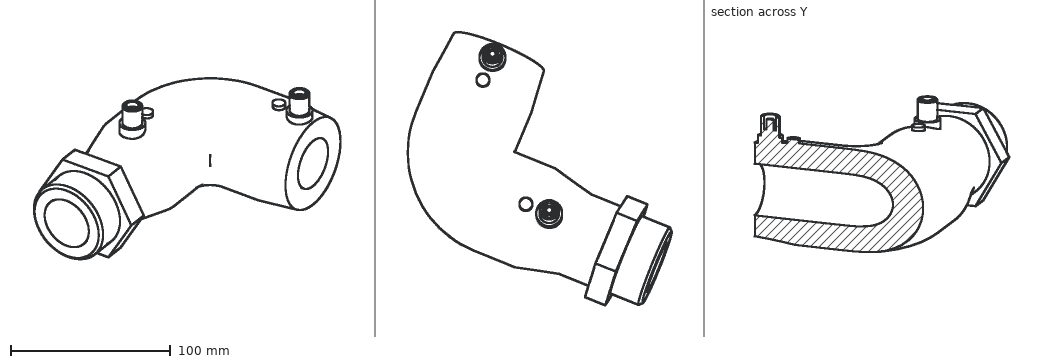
import cadquery as cq
import math

body_radius = 33.5
bend_radius = body_radius
bore_radius = body_radius / 2
barrel_end = 61.0

socket_end = 88.5
socket_end_radius = 30.6

taper_end = 88.2
neck_radius = 26.9
nut_start = 109.0
nut_length = 13.8
nut_across_flats = 60.2
thread_end = 143.5
thread_radius = 26.2
thread_chamfer = 2.0

collar_top = 35.8
collar_radius = 8.1
terminal_top = 49.0
terminal_radius = 6.2
terminal_chamfer = 0.9
terminal_bore_radius = 3.9
terminal_bore_depth = 8.9
pin_radius = 2.5
pin_chamfer = 0.5
pin_height = 6.7
indicator_radius = 4.0
socket_terminal_x = 78.2
socket_indicator_x = 62.7
threaded_terminal_y = -70.6
threaded_indicator_y = -54.9
root_height = 23


def bend(radius):
    """Quarter bend joining the two legs, turned about a vertical axis."""
    return (
        cq.Workplane("XZ", origin=(0, -bend_radius, 0))
        .circle(radius)
        .revolve(90, (bend_radius, 0), (bend_radius, -1))
    )


def leg_along_x(profile):
    """Solid of revolution about X from (distance, radius) points."""
    start = profile[0][0]
    end = profile[-1][0]
    points = [(start, 0)] + profile + [(end, 0)]
    return cq.Workplane("XY").polyline(points).close().revolve(360, (0, 0), (1, 0))


def leg_along_minus_y(profile):
    return leg_along_x(profile).rotate((0, 0, 0), (0, 0, 1), -90)


def upright(x, y, radius, bottom, top):
    """Vertical cylinder between two heights."""
    return cq.Workplane("XY", origin=(x, y, bottom)).circle(radius).extrude(top - bottom)


def terminal(x, y):
    """Collared hollow stud with a contact pin standing in its bore."""
    bore_floor = terminal_top - terminal_bore_depth
    collar = upright(x, y, collar_radius, root_height, collar_top)
    stud = upright(x, y, terminal_radius, root_height, terminal_top)
    stud = stud.faces(">Z").chamfer(terminal_chamfer)
    bore = upright(x, y, terminal_bore_radius, bore_floor, terminal_top)
    pin = upright(x, y, pin_radius, bore_floor, bore_floor + pin_height)
    pin = pin.faces(">Z").chamfer(pin_chamfer)
    return collar.union(stud).cut(bore).union(pin)


def indicator(x, y):
    return upright(x, y, indicator_radius, root_height, collar_top)


socket_leg = leg_along_x([
    (bend_radius, body_radius),
    (barrel_end, body_radius),
    (socket_end, socket_end_radius),
])
threaded_leg = leg_along_minus_y([
    (bend_radius, body_radius),
    (barrel_end, body_radius),
    (taper_end, neck_radius),
    (nut_start, neck_radius),
    (nut_start, thread_radius),
    (thread_end - thread_chamfer, thread_radius),
    (thread_end, thread_radius - thread_chamfer),
])
nut = (
    cq.Workplane("XZ", origin=(0, -nut_start, 0))
    .polygon(6, nut_across_flats / math.cos(math.pi / 6))
    .extrude(nut_length)
)
result = bend(body_radius).union(socket_leg).union(threaded_leg).union(nut)

for x, y in [(socket_terminal_x, 0), (0, threaded_terminal_y)]:
    result = result.union(terminal(x, y))
for x, y in [(socket_indicator_x, 0), (0, threaded_indicator_y)]:
    result = result.union(indicator(x, y))

result = (
    result.cut(bend(bore_radius))
    .cut(leg_along_x([(bend_radius, bore_radius), (socket_end, bore_radius)]))
    .cut(leg_along_minus_y([(bend_radius, bore_radius), (thread_end, bore_radius)]))
)